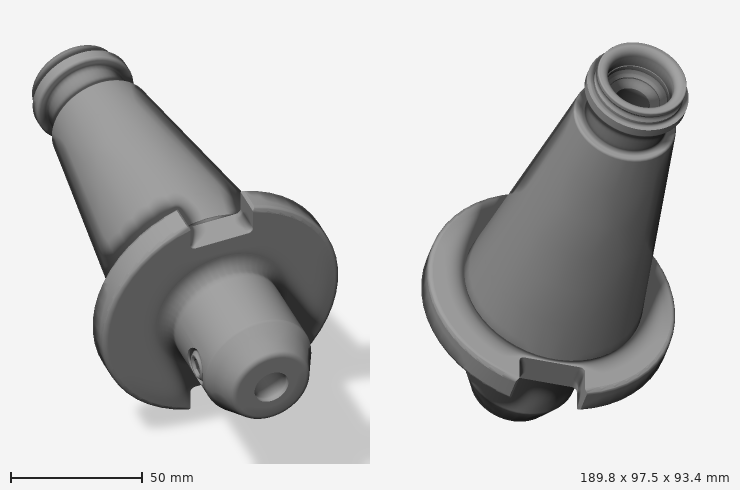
import cadquery as cq
import math

total_length = 189.8
gauge_x = 126.8
taper_end_x = 128.0
flange_x = 130.0
flange_thickness = 12.0
flange_end_x = flange_x + flange_thickness

gauge_radius = 69.85 / 2
taper_slope = 7 / 48
taper_start_x = 25.0
taper_edge_fillet = 1.0
relief_radius = 34.4
relief_fillet = 0.65

rim_radius = 17.5
rim_edge_fillet = 0.6
groove_start_x = 1.7
groove_end_x = 5.2
groove_depth = 1.2
groove_flank = 1.5
collar_start_x = 6.9
collar_end_x = 11.6
collar_radius = 20.0
collar_edge_fillet = 1.2
collar_root_fillet = 0.6
neck_radius = 16.0
neck_fillet = 0.7

flange_radius = 97.5 / 2
flange_front_fillet = 1.8
flange_back_fillet = 2.0
slot_width = 25.8
slot_floor_z = 35.1
slot_corner_fillet = 2.0
slot_edge_chamfer = 1.1

nose_radius = 22.0
nose_root_fillet = 5.0
nose_cone_x = 176.9
nose_cone_angle = 26.5
nose_edge_fillet = 2.3
nose_shoulder_fillet = 2.5

through_radius = 7.0
mouth_fillet = 3.0
mouth_radius = 13.0
mouth_depth = 8.7
seat_radius = 12.6
seat_end_x = 10.8
counterdrill_radius = 11.6
core_radius = 10.3
core_land = 0.6
drill_half_angle = 59.0

screw_x = total_length - 22.0
screw_radius = 6.0
screw_length = 16.0
screw_tip_y = -5.8
screw_chamfer = 1.3
hex_across_flats = 6.0
hex_depth = 6.0
socket_rim_radius = 4.0
countersink_radius = 7.3
countersink_depth = 1.3
balance_hole_x = 165.0
balance_hole_radius = 7.0
balance_hole_depth = 5.0


def taper_radius(x):
    return gauge_radius - (gauge_x - x) * taper_slope


def revolve_about_x(profile):
    return profile.close().revolve(360, (0, 0, 0), (1, 0, 0))


def drawbar_end():
    """Rim with a tapered groove, a collar and the neck behind it."""
    floor_radius = rim_radius - groove_depth
    profile = (
        cq.Workplane("XZ")
        .moveTo(0, 0)
        .lineTo(0, rim_radius - rim_edge_fillet)
        .radiusArc((rim_edge_fillet, rim_radius), rim_edge_fillet)
        .lineTo(groove_start_x, rim_radius)
        .lineTo(groove_start_x + groove_flank, floor_radius)
        .lineTo(groove_end_x - groove_flank, floor_radius)
        .lineTo(groove_end_x, rim_radius)
        .lineTo(collar_start_x - collar_root_fillet, rim_radius)
        .radiusArc((collar_start_x, rim_radius + collar_root_fillet), -collar_root_fillet)
        .lineTo(collar_start_x, collar_radius)
        .lineTo(collar_end_x - collar_edge_fillet, collar_radius)
        .radiusArc((collar_end_x, collar_radius - collar_edge_fillet), collar_edge_fillet)
        .lineTo(collar_end_x, neck_radius + neck_fillet)
        .radiusArc((collar_end_x + neck_fillet, neck_radius), -neck_fillet)
        .lineTo(taper_start_x - neck_fillet, neck_radius)
        .radiusArc((taper_start_x, neck_radius + neck_fillet), -neck_fillet)
        .lineTo(taper_start_x, 0)
    )
    return revolve_about_x(profile)


def taper():
    """Steep taper with the shallow groove that joins it to the flange."""
    profile = (
        cq.Workplane("XZ")
        .moveTo(taper_start_x, 0)
        .lineTo(taper_start_x, taper_radius(taper_start_x))
        .lineTo(taper_end_x, taper_radius(taper_end_x))
        .lineTo(taper_end_x, relief_radius + relief_fillet)
        .radiusArc((taper_end_x + relief_fillet, relief_radius), -relief_fillet)
        .lineTo(flange_x - relief_fillet, relief_radius)
        .radiusArc((flange_x, relief_radius + relief_fillet), -relief_fillet)
        .lineTo(flange_x, 0)
    )
    return revolve_about_x(profile).faces("<X").edges().fillet(taper_edge_fillet)


def flange():
    """Flange disc with rounded rims."""
    profile = (
        cq.Workplane("XZ")
        .moveTo(flange_x, 0)
        .lineTo(flange_x, flange_radius)
        .lineTo(flange_end_x, flange_radius)
        .lineTo(flange_end_x, 0)
    )
    body = revolve_about_x(profile).faces("<X").edges().fillet(flange_front_fillet)
    return body.faces(">X").edges().fillet(flange_back_fillet)


def nose():
    """Cylinder carrying the tool, with a cone and a rounded end."""
    cone_angle = math.radians(nose_cone_angle)
    end_radius = nose_radius - (total_length - nose_cone_x) * math.tan(cone_angle)
    tangent = nose_shoulder_fillet * math.tan(cone_angle / 2)
    shoulder_end = (
        nose_cone_x + tangent * math.cos(cone_angle),
        nose_radius - tangent * math.sin(cone_angle),
    )
    profile = (
        cq.Workplane("XZ")
        .moveTo(flange_end_x, 0)
        .lineTo(flange_end_x, nose_radius + nose_root_fillet)
        .radiusArc((flange_end_x + nose_root_fillet, nose_radius), -nose_root_fillet)
        .lineTo(nose_cone_x - tangent, nose_radius)
        .radiusArc(shoulder_end, nose_shoulder_fillet)
        .lineTo(total_length, end_radius)
        .lineTo(total_length, 0)
    )
    return revolve_about_x(profile).faces(">X").edges().fillet(nose_edge_fillet)


def drive_slot(side):
    """Cutter for one drive slot; side is +1 for the top and -1 for the bottom."""
    half = slot_width / 2
    slot = (
        cq.Workplane("XY")
        .box(flange_thickness, slot_width, flange_radius, centered=(False, True, False))
        .edges("<Z and |X")
        .fillet(slot_corner_fillet)
        .translate((flange_x, 0, slot_floor_z))
    )
    edge_z = math.sqrt(flange_radius**2 - (half + slot_edge_chamfer) ** 2)
    flare = (
        cq.Workplane("YZ")
        .workplane(offset=flange_x)
        .moveTo(-half, edge_z - slot_edge_chamfer)
        .lineTo(half, edge_z - slot_edge_chamfer)
        .lineTo(half + slot_edge_chamfer, edge_z)
        .lineTo(half + slot_edge_chamfer, flange_radius)
        .lineTo(-half - slot_edge_chamfer, flange_radius)
        .lineTo(-half - slot_edge_chamfer, edge_z)
        .close()
        .extrude(flange_thickness)
    )
    cutter = slot.union(flare)
    return cutter if side > 0 else cutter.mirror("XY")


def axial_bore():
    """Rounded mouth, stepped drawbar seat tapering down, and the through bore to the tool end."""
    drill_slope = 1 / math.tan(math.radians(drill_half_angle))
    counterdrill_x = seat_end_x + seat_radius - counterdrill_radius
    core_start_x = counterdrill_x + (counterdrill_radius - core_radius) * drill_slope
    core_end_x = core_start_x + core_land
    through_x = core_end_x + (core_radius - through_radius) * drill_slope
    profile = (
        cq.Workplane("XZ")
        .moveTo(0, 0)
        .lineTo(0, mouth_radius + mouth_fillet)
        .radiusArc((mouth_fillet, mouth_radius), -mouth_fillet)
        .lineTo(mouth_depth, mouth_radius)
        .lineTo(mouth_depth, seat_radius)
        .lineTo(seat_end_x, seat_radius)
        .lineTo(counterdrill_x, counterdrill_radius)
        .lineTo(core_start_x, core_radius)
        .lineTo(core_end_x, core_radius)
        .lineTo(through_x, through_radius)
        .lineTo(total_length, through_radius)
        .lineTo(total_length, 0)
    )
    return revolve_about_x(profile)


def screw_hole():
    """Cutter for the clamping-screw hole and its recessed countersink."""
    cone_y = -nose_radius + countersink_depth
    profile = (
        cq.Workplane("XY")
        .moveTo(0, 0)
        .lineTo(screw_radius, 0)
        .lineTo(screw_radius, cone_y + countersink_radius - screw_radius)
        .lineTo(countersink_radius, cone_y)
        .lineTo(countersink_radius, -nose_radius)
        .lineTo(0, -nose_radius)
        .close()
    )
    return profile.revolve(360, (0, 0, 0), (0, 1, 0)).translate((screw_x, 0, 0))


def balance_hole():
    return (
        cq.Workplane("XZ", origin=(balance_hole_x, nose_radius, 0))
        .circle(balance_hole_radius)
        .extrude(balance_hole_depth)
    )


def make_holder():
    holder = drawbar_end().union(taper()).union(flange()).union(nose())
    for side in (1, -1):
        holder = holder.cut(drive_slot(side))
    return holder.cut(axial_bore()).cut(screw_hole()).cut(balance_hole())


def make_screw():
    """Headless clamping screw with a hexagon socket, pointing at the bore."""
    screw = (
        cq.Workplane("XZ", origin=(screw_x, screw_tip_y, 0))
        .circle(screw_radius)
        .extrude(screw_length)
        .edges("%CIRCLE")
        .chamfer(screw_chamfer)
    )
    face_y = screw_tip_y - screw_length
    corner_diameter = hex_across_flats / math.cos(math.radians(30))
    socket = (
        cq.Workplane("XZ", origin=(screw_x, face_y + hex_depth, 0))
        .polygon(6, corner_diameter)
        .extrude(hex_depth)
    )
    lead_in_depth = socket_rim_radius - hex_across_flats / 2
    lead_in = (
        cq.Workplane("XY")
        .moveTo(0, face_y)
        .lineTo(socket_rim_radius, face_y)
        .lineTo(hex_across_flats / 2, face_y + lead_in_depth)
        .lineTo(0, face_y + lead_in_depth)
        .close()
        .revolve(360, (0, 0, 0), (0, 1, 0))
        .translate((screw_x, 0, 0))
    )
    return screw.cut(socket).cut(lead_in)


holder = make_holder()
clamping_screw = make_screw()
result = cq.Compound.makeCompound([holder.val(), clamping_screw.val()])